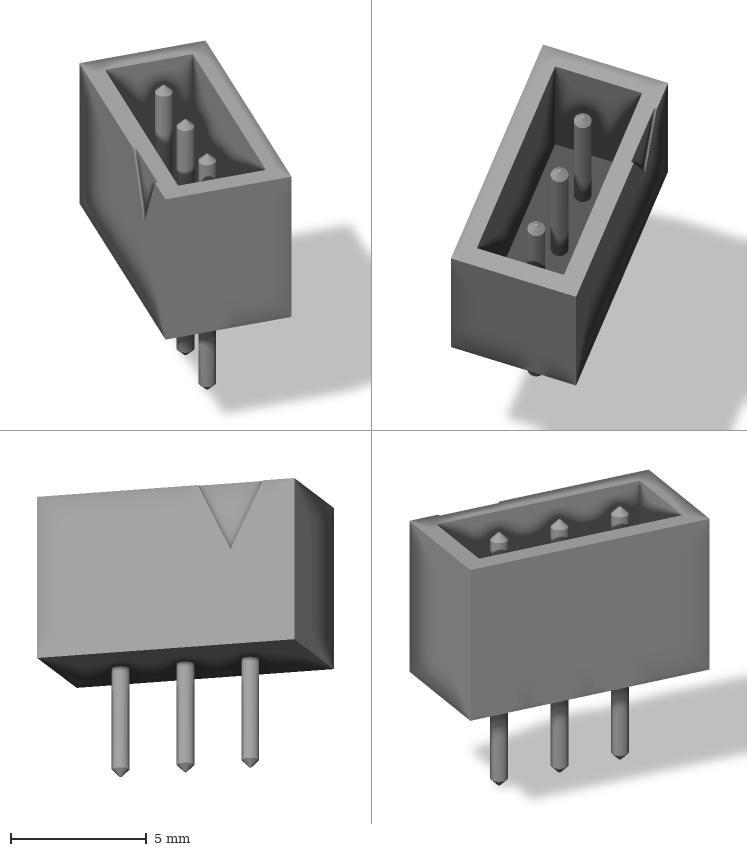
import cadquery as cq

length = 9.9
width = 4.9
height = 6.1
wall = 0.74
floor = wall

pin_count = 3
pitch = 2.5
pin_diameter = 0.65
pin_tail = 4.1
pin_length = height + pin_tail
tip_chamfer = 0.28

mark_width = pitch
mark_height = pitch
mark_depth = 0.1

pin_positions = [(i - (pin_count - 1) / 2) * pitch for i in range(pin_count)]


def make_mark(x):
    """Triangular prism that cuts the mark, centred on x."""
    return (
        cq.Workplane("XZ", origin=(x, -width / 2, 0))
        .moveTo(-mark_width / 2, height)
        .lineTo(mark_width / 2, height)
        .lineTo(0, height - mark_height)
        .close()
        .extrude(-mark_depth)
    )


def make_housing():
    """Box with a rectangular cavity, the mark and a hole for each pin."""
    body = cq.Workplane("XY").box(length, width, height, centered=(True, True, False))
    cavity = (
        cq.Workplane("XY", origin=(0, 0, floor))
        .rect(length - 2 * wall, width - 2 * wall)
        .extrude(height - floor)
    )
    pin_holes = (
        cq.Workplane("XY")
        .pushPoints([(x, 0) for x in pin_positions])
        .circle(pin_diameter / 2)
        .extrude(floor)
    )
    return body.cut(cavity).cut(pin_holes).cut(make_mark(pin_positions[-1]))


def make_pin(x):
    """Round pin with a chamfered tip at each end."""
    return (
        cq.Workplane("XY", origin=(x, 0, -pin_tail))
        .circle(pin_diameter / 2)
        .extrude(pin_length)
        .faces("<Z or >Z")
        .chamfer(tip_chamfer)
    )


housing = make_housing()
pins = [make_pin(x) for x in pin_positions]

result = cq.Compound.makeCompound([housing.val(), *[pin.val() for pin in pins]])